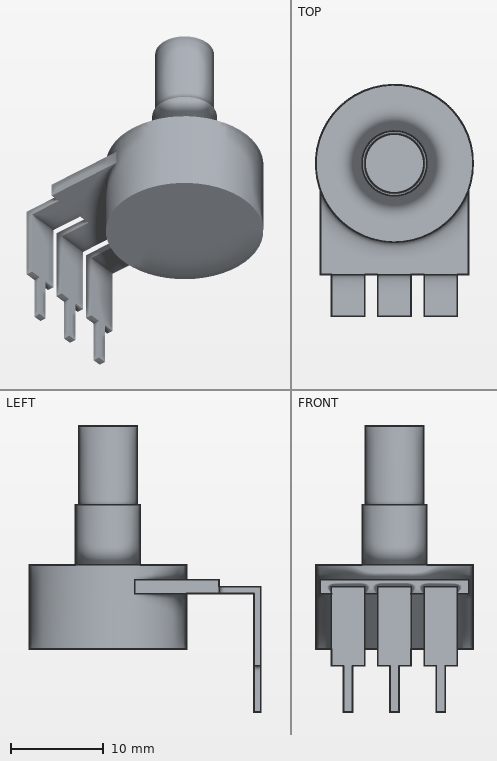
import cadquery as cq

body_diameter = 17.0
body_height = 9.1

bushing_diameter = 7.0
bushing_height = 6.5
shaft_diameter = 6.35
shaft_height = 8.5

plate_width = 16.0
plate_reach = 12.0
plate_thickness = 1.5
plate_top_z = body_height - 1.6
plate_bottom_z = plate_top_z - plate_thickness

terminal_count = 3
terminal_pitch = 5.0
terminal_width = 3.6
terminal_thickness = plate_thickness / 2
terminal_reach = 16.5
terminal_top_z = plate_bottom_z + terminal_thickness
pin_width = 1.0
pin_length = 5.0
pin_bottom_z = -6.8
terminal_bottom_z = pin_bottom_z + pin_length


def box_between(width, x_center, y_range, z_range):
    """Box centred on x_center in X, spanning the given Y and Z ranges."""
    y_min, y_max = y_range
    z_min, z_max = z_range
    return (
        cq.Workplane("XY")
        .box(width, y_max - y_min, z_max - z_min, centered=(True, False, False))
        .translate((x_center, y_min, z_min))
    )


def make_body():
    """Body, bushing and shaft stacked on one axis."""
    return (
        cq.Workplane("XY")
        .circle(body_diameter / 2)
        .extrude(body_height)
        .faces(">Z")
        .workplane()
        .circle(bushing_diameter / 2)
        .extrude(bushing_height)
        .faces(">Z")
        .workplane()
        .circle(shaft_diameter / 2)
        .extrude(shaft_height)
    )


def make_plate():
    """Flat plate that carries the terminals."""
    return box_between(plate_width, 0, (-plate_reach, 0), (plate_bottom_z, plate_top_z))


def make_terminal(x_center):
    """Terminal that leaves the plate, bends down and narrows to a pin."""
    outer_y = -terminal_reach
    inner_y = outer_y + terminal_thickness
    arm = box_between(
        terminal_width, x_center, (outer_y, -plate_reach), (plate_bottom_z, terminal_top_z)
    )
    leg = box_between(
        terminal_width, x_center, (outer_y, inner_y), (terminal_bottom_z, terminal_top_z)
    )
    pin = box_between(pin_width, x_center, (outer_y, inner_y), (pin_bottom_z, terminal_bottom_z))
    return arm.union(leg).union(pin)


result = make_body().union(make_plate())
for index in range(terminal_count):
    terminal_x = (index - (terminal_count - 1) / 2) * terminal_pitch
    result = result.union(make_terminal(terminal_x))